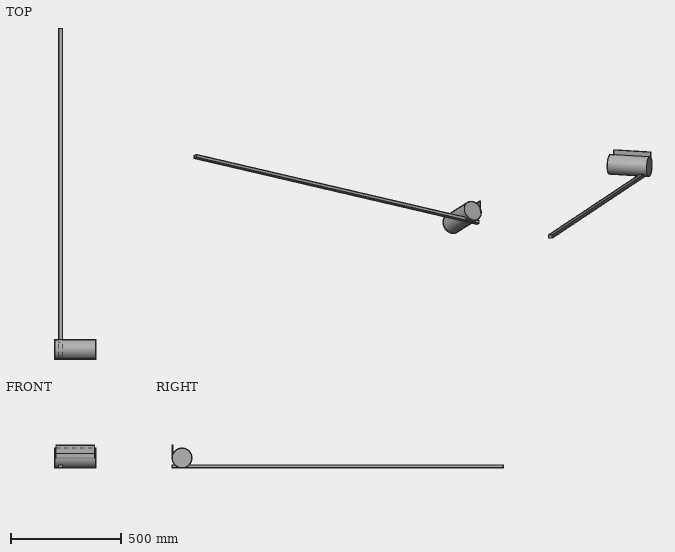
import cadquery as cq

total_length = 1502.0
total_height = 104.0

roller_diameter = 90.0
roller_length = 186.0
roller_radius = roller_diameter / 2

plate_width = 175.0
plate_thickness = 5.0
plate_height = total_height - roller_radius
plate_start = (roller_length - plate_width) / 2

bar_start = 18.0
bar_width = 18.0
bar_height = 14.0


def corner_box(width, depth, height, corner):
    """Box whose lowest X, Y and Z corner sits at the given point."""
    return cq.Workplane("XY").box(width, depth, height, centered=False).translate(corner)


roller = (
    cq.Workplane("YZ")
    .center(roller_radius, roller_radius)
    .circle(roller_radius)
    .extrude(roller_length)
)
plate = corner_box(plate_width, plate_thickness, plate_height, (plate_start, 0, roller_radius))
bar = corner_box(bar_width, total_length, bar_height, (bar_start, 0, 0))

result = roller.union(plate).union(bar)